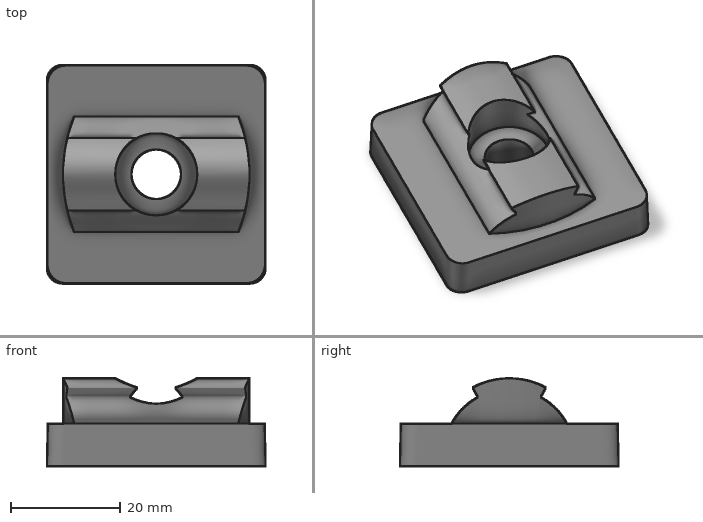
import cadquery as cq
import math

base_side = 40.0
base_height = 7.8
base_corner_radius = 3.0
side_inset = 0.15

total_height = 16.1
crown_radius = 14.0
flank_radius = 12.0
axis_height = total_height - crown_radius
crown_half_width = 6.7
neck_half_width = 5.75
notch_edge_radius = 0.2
saddle_length = 34.1
end_radius = 28.4

hole_diameter = 9.0
counterbore_diameter = 15.0
counterbore_floor = 8.3


def arc_height(radius, y):
    """Height at y of a circle about the saddle axis."""
    return axis_height + math.sqrt(radius**2 - y**2)


def make_base():
    top_side = base_side - 2 * side_inset
    bottom = cq.Sketch().rect(base_side, base_side).vertices().fillet(base_corner_radius)
    top = cq.Sketch().rect(top_side, top_side).vertices().fillet(base_corner_radius + side_inset)
    return cq.Workplane("XY").placeSketch(bottom, top.moved(cq.Location((0, 0, base_height)))).loft()


def make_saddle():
    foot_y = math.sqrt(flank_radius**2 - (base_height - axis_height) ** 2)
    flank_mid_y = (foot_y + neck_half_width) / 2
    neck_z = arc_height(flank_radius, neck_half_width)
    crown_z = arc_height(crown_radius, crown_half_width)
    flank_mid_z = arc_height(flank_radius, flank_mid_y)

    saddle = (
        cq.Workplane("YZ")
        .moveTo(-foot_y, base_height)
        .threePointArc((-flank_mid_y, flank_mid_z), (-neck_half_width, neck_z))
        .lineTo(-crown_half_width, crown_z)
        .threePointArc((0, total_height), (crown_half_width, crown_z))
        .lineTo(neck_half_width, neck_z)
        .threePointArc((flank_mid_y, flank_mid_z), (foot_y, base_height))
        .close()
        .extrude(saddle_length / 2, both=True)
    )
    notch_bottom = neck_z - notch_edge_radius
    notch_edges = saddle.edges("|X").filter(lambda edge: edge.Center().z > notch_bottom)
    saddle = saddle.newObject(notch_edges.vals()).fillet(notch_edge_radius)

    end_offset = end_radius - saddle_length / 2
    for direction in (-1, 1):
        end_circle = cq.Workplane("XY").center(direction * end_offset, 0).circle(end_radius)
        end_cylinder = end_circle.extrude(total_height)
        saddle = saddle.intersect(end_cylinder)
    return saddle


def cut_screw_hole(body):
    hole = cq.Workplane("XY").circle(hole_diameter / 2).extrude(total_height)
    counterbore = (
        cq.Workplane("XY")
        .workplane(offset=counterbore_floor)
        .circle(counterbore_diameter / 2)
        .extrude(total_height - counterbore_floor)
    )
    return body.cut(hole).cut(counterbore)


result = cut_screw_hole(make_base().union(make_saddle()))